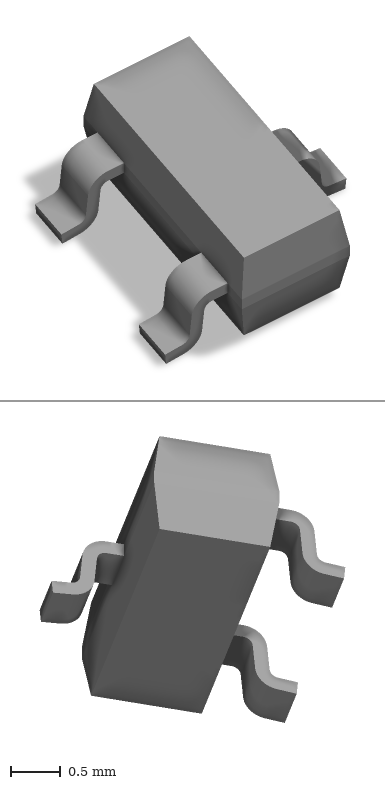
import cadquery as cq
import math

body_length = 2.9
body_width = 1.3
lead_span = 2.8
total_height = 1.3

band_height = 0.15
half_height = 0.525
taper_inset = 0.075

lead_width = 0.48
lead_pitch = 1.9
inner_radius = 0.1
outer_radius = inner_radius + band_height
foot_length = 0.205
tilt = 5.0

leg_heading = tilt - 90
foot_heading = -tilt
sin_tilt = math.sin(math.radians(tilt))
cos_tilt = math.cos(math.radians(tilt))

band_top = total_height - half_height
band_bottom = band_top - band_height

shoulder_drop = outer_radius * (1 - sin_tilt)
ankle_drop = inner_radius * (cos_tilt - sin_tilt)
foot_drop = foot_length * sin_tilt + band_height * cos_tilt
leg_length = (band_top - shoulder_drop - ankle_drop - foot_drop) / cos_tilt

shoulder_reach = outer_radius * cos_tilt
leg_reach = leg_length * sin_tilt
ankle_reach = inner_radius * (cos_tilt - sin_tilt)
foot_reach = foot_length * cos_tilt
flat_length = lead_span / 2 - shoulder_reach - leg_reach - ankle_reach - foot_reach


def tapered_half(base_z, direction):
    """Half of the body, narrowing away from the band (direction +1 up, -1 down)."""
    return (
        cq.Workplane("XY", origin=(0, 0, base_z))
        .rect(body_length, body_width)
        .workplane(offset=direction * half_height)
        .rect(body_length - 2 * taper_inset, body_width - 2 * taper_inset)
        .loft()
    )


def step(point, heading, length):
    angle = math.radians(heading)
    return (point[0] + length * math.cos(angle), point[1] + length * math.sin(angle))


def bend(center, radius, start_angle, end_angle):
    """Middle and end points of an arc about center."""
    middle = step(center, (start_angle + end_angle) / 2, radius)
    return middle, step(center, end_angle, radius)


def lead_edge(start_z, shoulder_radius, ankle_radius):
    """Points along one surface of the lead, from the mid-plane out to the toe."""
    start = (0, start_z)
    flat_end = step(start, 0, flat_length)
    shoulder_center = step(flat_end, -90, shoulder_radius)
    shoulder_mid, leg_top = bend(shoulder_center, shoulder_radius, 90, leg_heading + 90)
    leg_bottom = step(leg_top, leg_heading, leg_length)
    ankle_center = step(leg_bottom, leg_heading + 90, ankle_radius)
    ankle_mid, foot_start = bend(ankle_center, ankle_radius, leg_heading - 90, foot_heading - 90)
    toe = step(foot_start, foot_heading, foot_length)
    return [start, flat_end, shoulder_mid, leg_top, leg_bottom, ankle_mid, foot_start, toe]


def trace_edge(profile, points):
    """Draw the three straights and two bends of a lead edge from its first point."""
    _, first_end, first_mid, second_start, second_end, second_mid, third_start, end = points
    return (
        profile.lineTo(*first_end)
        .threePointArc(first_mid, second_start)
        .lineTo(*second_end)
        .threePointArc(second_mid, third_start)
        .lineTo(*end)
    )


def lead(center_x):
    """One lead reaching toward +Y."""
    upper = lead_edge(band_top, outer_radius, inner_radius)
    lower = lead_edge(band_bottom, inner_radius, outer_radius)
    profile = cq.Workplane("YZ", origin=(center_x, 0, 0)).moveTo(*upper[0])
    profile = trace_edge(profile, upper)
    profile = profile.lineTo(*lower[-1])
    profile = trace_edge(profile, lower[::-1])
    return profile.close().extrude(lead_width / 2, both=True)


band = cq.Workplane("XY", origin=(0, 0, band_bottom)).rect(body_length, body_width).extrude(band_height)
result = band.union(tapered_half(band_top, 1)).union(tapered_half(band_bottom, -1))

result = result.union(lead(0))
for side in (-1, 1):
    front_lead = lead(side * lead_pitch / 2).mirror("XZ")
    result = result.union(front_lead)